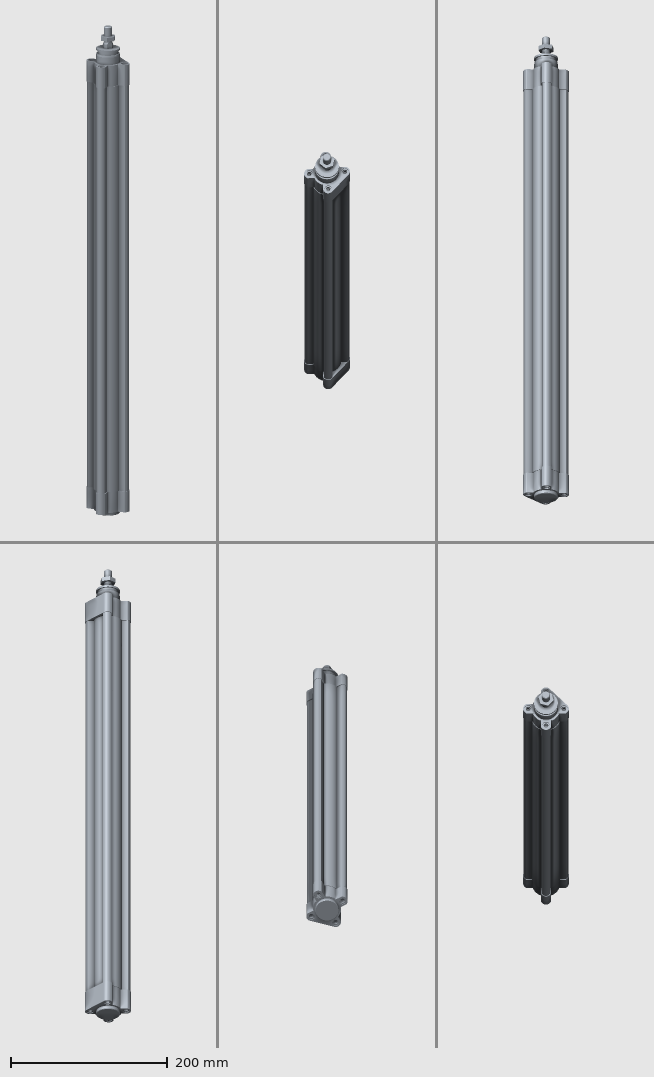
import cadquery as cq
import math

TOTAL_LENGTH = 645.0
REAR_COLLAR_HEIGHT = 4.5
CAP_LENGTH = 28.0
FRONT_CAP_TOP = 598.0
FRONT_COLLAR_HEIGHT = 19.0

REAR_CAP_Z = REAR_COLLAR_HEIGHT
TUBE_Z = REAR_CAP_Z + CAP_LENGTH
FRONT_CAP_Z = FRONT_CAP_TOP - CAP_LENGTH
TUBE_LENGTH = FRONT_CAP_Z - TUBE_Z

CAP_WIDTH = 45.0
SCREW_OFFSET = 16.0
CAP_BARREL_RADIUS = 18.0
CAP_GROOVE_MOUTH = 13.5
CAP_BARREL_HALF_WIDTH = 6.5
CAP_LUG_FILLET = 2.0

TUBE_WIDTH = 44.0
TUBE_BARREL_RADIUS = 19.0
TUBE_GROOVE_MOUTH = 14.0
TUBE_BARREL_HALF_WIDTH = 8.5

GROOVE_STEP = 1.0

SCREW_STEPS = [(9.0, 1.0), (6.0, 4.0), (4.9, 6.5)]

COLLAR_DIAMETER = 30.0
REAR_COLLAR_CHAMFER = 0.5
COLLAR_GROOVE_DIAMETER = 26.5
COLLAR_RIM = 2.5
COLLAR_GROOVE_WIDTH = 4.5
COLLAR_BEVEL_HEIGHT = 2.0
COLLAR_BEVEL_DEPTH = 0.3

ROD_DIAMETER = 12.0
ROD_FLATS = 10.0
ROD_DEPTH = FRONT_COLLAR_HEIGHT + CAP_LENGTH
THREAD_DIAMETER = 10.0
THREAD_LENGTH = 20.0
THREAD_CHAMFER = 0.95
ROD_SHOULDER_HEIGHT = 2.5

NUT_ACROSS_FLATS = 17.5
NUT_HEIGHT = 5.5
NUT_Z = 627.0

COLLAR_TOP = FRONT_CAP_TOP + FRONT_COLLAR_HEIGHT


def grooved_bar(z, length, width, barrel_radius, groove_mouth, barrel_half_width):
    """Square bar with rounded corner lugs and, on each side, a round barrel face between two grooves."""
    half_width = width / 2
    barrel_edge = math.sqrt(barrel_radius**2 - barrel_half_width**2)
    groove_bottom = barrel_edge - GROOVE_STEP
    bar = (
        cq.Workplane("XY", origin=(0, 0, z))
        .rect(width, width)
        .extrude(length)
        .edges("|Z")
        .fillet(half_width - SCREW_OFFSET)
    )
    side_gap = (
        cq.Workplane("XY", origin=(0, 0, z))
        .moveTo(-groove_mouth, -width)
        .lineTo(-groove_mouth, -half_width)
        .lineTo(-barrel_half_width, -groove_bottom)
        .lineTo(-barrel_half_width, -barrel_edge)
        .threePointArc((0, -barrel_radius), (barrel_half_width, -barrel_edge))
        .lineTo(barrel_half_width, -groove_bottom)
        .lineTo(groove_mouth, -half_width)
        .lineTo(groove_mouth, -width)
        .close()
        .extrude(length)
    )
    for quarter in range(4):
        bar = bar.cut(side_gap.rotate((0, 0, 0), (0, 0, 1), 90 * quarter))
    return bar


def tube():
    return grooved_bar(
        TUBE_Z, TUBE_LENGTH, TUBE_WIDTH, TUBE_BARREL_RADIUS, TUBE_GROOVE_MOUTH, TUBE_BARREL_HALF_WIDTH
    )


def is_cap_lug_edge(edge):
    """True for an upright edge where a cap's outer face meets a groove."""
    centre = edge.Center()
    near, far = sorted((abs(centre.x), abs(centre.y)))
    return math.isclose(near, CAP_GROOVE_MOUTH) and math.isclose(far, CAP_WIDTH / 2)


def cap(z):
    """End cap: grooved on three sides, closed to a flat face on +Y."""
    flat_side = (
        cq.Workplane("XY", origin=(0, 0, z))
        .center(0, CAP_WIDTH / 4)
        .rect(2 * SCREW_OFFSET, CAP_WIDTH / 2)
        .extrude(CAP_LENGTH)
    )
    bar = grooved_bar(
        z, CAP_LENGTH, CAP_WIDTH, CAP_BARREL_RADIUS, CAP_GROOVE_MOUTH, CAP_BARREL_HALF_WIDTH
    )
    bar = bar.edges("|Z").filter(is_cap_lug_edge).fillet(CAP_LUG_FILLET)
    return bar.union(flat_side)


def cut_screw_recesses(housing, cap_end):
    """Cut four stepped recesses inward from the end plane of a cap."""
    corners = cap_end.rect(2 * SCREW_OFFSET, 2 * SCREW_OFFSET, forConstruction=True).vertices()
    for diameter, depth in SCREW_STEPS:
        housing = housing.cut(corners.circle(diameter / 2).extrude(-depth))
    return housing


def front_collar():
    radius = COLLAR_DIAMETER / 2
    groove_radius = COLLAR_GROOVE_DIAMETER / 2
    groove_top = COLLAR_TOP - COLLAR_RIM
    groove_bottom = groove_top - COLLAR_GROOVE_WIDTH
    return (
        cq.Workplane("XZ")
        .moveTo(0, FRONT_CAP_TOP)
        .lineTo(radius, FRONT_CAP_TOP)
        .lineTo(radius, groove_bottom - COLLAR_BEVEL_HEIGHT)
        .lineTo(radius - COLLAR_BEVEL_DEPTH, groove_bottom)
        .lineTo(groove_radius, groove_bottom)
        .lineTo(groove_radius, groove_top)
        .lineTo(radius, groove_top)
        .lineTo(radius, COLLAR_TOP)
        .lineTo(0, COLLAR_TOP)
        .close()
        .revolve(360, (0, 0, 0), (0, 1, 0))
    )


def rear_collar():
    return (
        cq.Workplane("XY")
        .circle(COLLAR_DIAMETER / 2)
        .extrude(REAR_COLLAR_HEIGHT)
        .faces("<Z")
        .chamfer(REAR_COLLAR_CHAMFER)
    )


def make_rod():
    shoulder_z = TOTAL_LENGTH - THREAD_LENGTH
    shaft_z = COLLAR_TOP - ROD_DEPTH
    shaft = (
        cq.Workplane("XY", origin=(0, 0, shaft_z))
        .circle(ROD_DIAMETER / 2)
        .extrude(shoulder_z - shaft_z)
        .faces(">Z")
        .chamfer(ROD_SHOULDER_HEIGHT, (ROD_DIAMETER - THREAD_DIAMETER) / 2)
    )
    flats = (
        cq.Workplane("XY", origin=(0, 0, COLLAR_TOP))
        .rect(2 * ROD_DIAMETER, 2 * ROD_DIAMETER)
        .rect(ROD_FLATS, 2 * ROD_DIAMETER)
        .extrude(shoulder_z - COLLAR_TOP)
    )
    thread = (
        cq.Workplane("XY", origin=(0, 0, shoulder_z))
        .circle(THREAD_DIAMETER / 2)
        .extrude(THREAD_LENGTH)
        .faces(">Z")
        .chamfer(THREAD_CHAMFER)
    )
    return shaft.cut(flats).union(thread)


def make_housing():
    housing = (
        tube()
        .union(cap(REAR_CAP_Z))
        .union(cap(FRONT_CAP_Z))
        .union(front_collar())
        .union(rear_collar())
    )
    front_end = cq.Workplane("XY", origin=(0, 0, FRONT_CAP_TOP))
    rear_end = cq.Workplane("XY", origin=(0, 0, REAR_CAP_Z)).transformed(rotate=(180, 0, 0))
    housing = cut_screw_recesses(housing, front_end)
    housing = cut_screw_recesses(housing, rear_end)
    rod_bore = (
        cq.Workplane("XY", origin=(0, 0, COLLAR_TOP))
        .circle(ROD_DIAMETER / 2)
        .extrude(-ROD_DEPTH)
    )
    return housing.cut(rod_bore)


def make_nut():
    corner_diameter = NUT_ACROSS_FLATS / math.cos(math.pi / 6)
    hexagon = (
        cq.Workplane("XY", origin=(0, 0, NUT_Z))
        .polygon(6, corner_diameter)
        .extrude(NUT_HEIGHT)
        .rotate((0, 0, 0), (0, 0, 1), 90)
    )
    bore = (
        cq.Workplane("XY", origin=(0, 0, NUT_Z))
        .circle(THREAD_DIAMETER / 2)
        .extrude(NUT_HEIGHT)
    )
    return hexagon.cut(bore)


housing = make_housing()
rod = make_rod()
nut = make_nut()

result = cq.Compound.makeCompound([housing.val(), rod.val(), nut.val()])